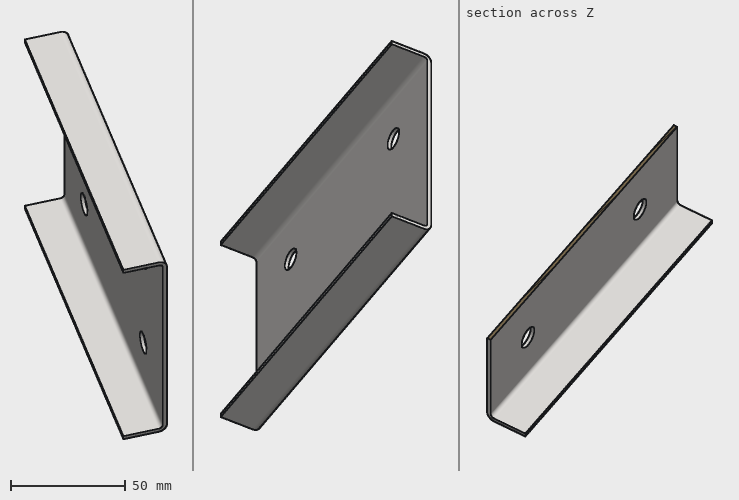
import cadquery as cq

length = 150.0
depth = 20.0
height = 104.0

thickness = 2.0
inner_bend_radius = 2.0
outer_bend_radius = inner_bend_radius + thickness

hole_diameter = 10.0
hole_spacing_x = 90.0
hole_spacing_z = height / 2


def make_channel():
    """Sheet channel with a web on the +Y side and two flanges toward -Y."""
    outer = cq.Workplane("XY").box(length, depth, height)
    outer = outer.edges("|X and >Y").fillet(outer_bend_radius)

    inner_depth = depth - thickness
    inner_height = height - 2 * thickness
    inner = cq.Workplane("XY").box(length, inner_depth, inner_height)
    inner = inner.edges("|X and >Y").fillet(inner_bend_radius)
    inner = inner.translate((0, -thickness / 2, 0))
    return outer.cut(inner)


def make_hole_cutters():
    """Four cylinders along Y, on a rectangle centred on the web."""
    return (
        cq.Workplane("XZ")
        .rarray(hole_spacing_x, hole_spacing_z, 2, 2)
        .circle(hole_diameter / 2)
        .extrude(depth, both=True)
    )


result = make_channel().cut(make_hole_cutters())